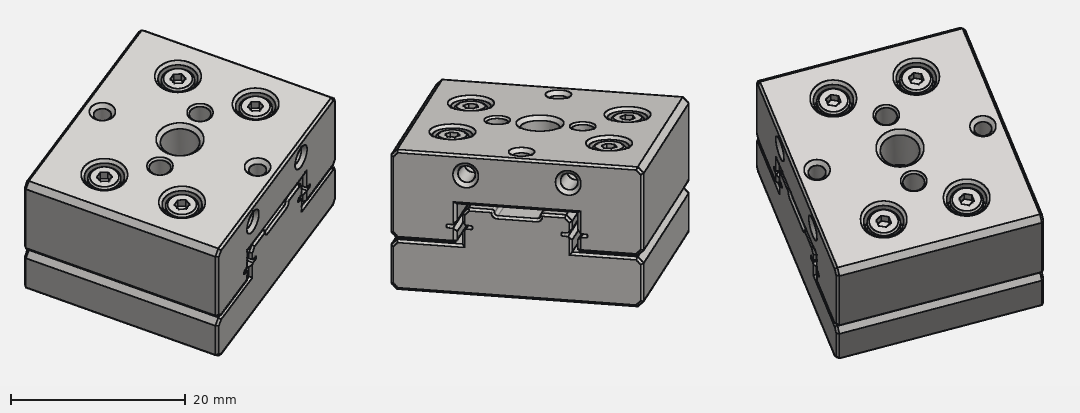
import cadquery as cq
import math

length = 25.0
width = 29.6
height = 17.0
long_edge_chamfer = 0.7
end_chamfer = 0.3

ledge_z = 6.07
carriage_bottom_z = 6.22

crown_half_width = 6.42
crown_top_z = 10.55
relief_half_width = 3.02
relief_lip_radius = 0.33
relief_floor_radius = 0.38

channel_half_width = 7.05
channel_top_z = 10.92
channel_side_flare = 0.4
leg_corner_chamfer = 0.3

guide_y = (crown_half_width + channel_half_width) / 2
guide_z = 8.23
guide_half_diagonal = 0.98
guide_slot_length = 3.08
guide_slot_height = 0.45

grid = 5.0
centre_bore_diameter = 4.5
centre_bore_rim = 5.48
dowel_diameter = 2.5
tapped_diameter = 2.0
small_rim = 3.0
tapped_x = 2 * grid

screw_y = 9.18
counterbore_diameter = 4.6
counterbore_rim = 5.33
head_diameter = 3.8
head_chamfer = 0.25
head_height = 2.0
head_recess = 0.35
socket_across_flats = 1.5
socket_depth = 1.0

end_hole_y = 6.0
end_hole_z = 14.53
end_hole_depth = 4.0
drill_tip_angle = 118.0

overcut = 0.3


def chamfered_block(bottom_z, top_z):
    """Full-length octagonal bar, broken along its long edges."""
    return (
        cq.Workplane("XY")
        .box(length, width, top_z - bottom_z, centered=(True, True, False))
        .translate((0, 0, bottom_z))
        .edges("|X")
        .chamfer(long_edge_chamfer)
    )


def countersunk_hole(diameter, rim_diameter, depth):
    """Cutter whose rim lies on z = 0 and which points down, with a 45 degree countersink."""
    sink = (rim_diameter - diameter) / 2
    outline = [
        (0, 0),
        (rim_diameter / 2, 0),
        (diameter / 2, -sink),
        (diameter / 2, -depth),
        (0, -depth),
    ]
    return cq.Workplane("XZ").polyline(outline).close().revolve(360, (0, 0, 0), (0, 1, 0))


def roller_guide(side):
    """Diamond groove with a relief slot across it, running the full length."""
    start = cq.Workplane("YZ", origin=(0, side * guide_y, guide_z))
    d = guide_half_diagonal
    cut_length = length + 2 * overcut
    diamond = start.polyline([(d, 0), (0, d), (-d, 0), (0, -d)]).close().extrude(cut_length / 2, both=True)
    slot = start.slot2D(guide_slot_length, guide_slot_height).extrude(cut_length / 2, both=True)
    return diamond.union(slot)


def cut_roller_guides(body):
    for side in (-1, 1):
        body = body.cut(roller_guide(side))
    return body


def crown_relief():
    """Shallow channel along the crown, each wall an S of two quarter arcs."""
    lip_bend = relief_lip_radius * math.sqrt(0.5)
    floor_bend = relief_floor_radius * math.sqrt(0.5)
    wall = relief_half_width - relief_lip_radius
    floor = wall - relief_floor_radius
    mid_z = crown_top_z - relief_lip_radius
    floor_z = mid_z - relief_floor_radius
    return (
        cq.Workplane("YZ")
        .moveTo(-relief_half_width, crown_top_z)
        .threePointArc((-relief_half_width + lip_bend, mid_z + lip_bend), (-wall, mid_z))
        .threePointArc((-floor - floor_bend, mid_z - floor_bend), (-floor, floor_z))
        .lineTo(floor, floor_z)
        .threePointArc((floor + floor_bend, mid_z - floor_bend), (wall, mid_z))
        .threePointArc((relief_half_width - lip_bend, mid_z + lip_bend), (relief_half_width, crown_top_z))
        .close()
        .extrude(length / 2, both=True)
    )


def make_base():
    crown = (
        cq.Workplane("XY")
        .box(length, 2 * crown_half_width, crown_top_z - long_edge_chamfer, centered=(True, True, False))
        .translate((0, 0, long_edge_chamfer))
        .edges("|X and >Z")
        .chamfer(long_edge_chamfer)
    )
    base = chamfered_block(0, ledge_z).union(crown).cut(crown_relief())
    base = base.faces("<X or >X").edges().chamfer(end_chamfer)
    return cut_roller_guides(base)


def channel_outline(plane, side_growth, top_growth):
    """Channel section with its bottom corners opening out at 45 degrees."""
    half = channel_half_width + side_growth
    top = channel_top_z + top_growth
    mouth = half + leg_corner_chamfer + overcut
    mouth_z = carriage_bottom_z - overcut
    corner_z = carriage_bottom_z + leg_corner_chamfer
    outline = [
        (-mouth, mouth_z),
        (-half, corner_z),
        (-half, top),
        (half, top),
        (half, corner_z),
        (mouth, mouth_z),
    ]
    return plane.polyline(outline).close()


def cut_channel(carriage):
    """Straight channel, flared where it meets each end face."""
    straight = channel_outline(cq.Workplane("YZ"), 0, 0).extrude(length / 2, both=True)
    carriage = carriage.cut(straight)
    inner = cq.Workplane("YZ", origin=(length / 2 - end_chamfer, 0, 0))
    flare = channel_outline(
        channel_outline(inner, 0, 0).workplane(offset=end_chamfer),
        channel_side_flare,
        end_chamfer,
    ).loft(ruled=True)
    return carriage.cut(flare).cut(flare.mirror("YZ"))


def cut_vertical_holes(carriage):
    """Centre bore, dowel holes and tapped holes, all open into the channel."""
    depth = height - channel_top_z + overcut
    centre_bore = countersunk_hole(centre_bore_diameter, centre_bore_rim, depth)
    dowel_hole = countersunk_hole(dowel_diameter, small_rim, depth)
    tapped_hole = countersunk_hole(tapped_diameter, small_rim, depth)
    carriage = carriage.cut(centre_bore.translate((0, 0, height)))
    for side in (-1, 1):
        carriage = carriage.cut(dowel_hole.translate((0, side * grid, height)))
        carriage = carriage.cut(tapped_hole.translate((side * tapped_x, 0, height)))
    return carriage


def screw_recess():
    """Counterbore with the socket cap head left standing in it; rim on z = 0."""
    bore = countersunk_hole(counterbore_diameter, counterbore_rim, head_recess + head_height)
    head = (
        cq.Workplane("XY", origin=(0, 0, -head_recess - head_height))
        .circle(head_diameter / 2)
        .extrude(head_height)
        .faces(">Z")
        .chamfer(head_chamfer)
    )
    across_corners = socket_across_flats / math.cos(math.pi / 6)
    socket = (
        cq.Workplane("XY", origin=(0, 0, -head_recess))
        .polygon(6, across_corners)
        .extrude(-socket_depth)
        .rotate((0, 0, 0), (0, 0, 1), 30)
    )
    return bore.cut(head.cut(socket))


def cut_screw_recesses(carriage):
    recess = screw_recess()
    for x in (-grid, grid):
        for y in (-screw_y, screw_y):
            carriage = carriage.cut(recess.translate((x, y, height)))
    return carriage


def end_hole():
    """Countersunk blind hole with a drill point; rim on z = 0."""
    radius = tapped_diameter / 2
    tip_length = radius / math.tan(math.radians(drill_tip_angle / 2))
    tip_base = cq.Vector(0, 0, -end_hole_depth)
    tip = cq.Workplane(cq.Solid.makeCone(radius, 0, tip_length, tip_base, cq.Vector(0, 0, -1)))
    return countersunk_hole(tapped_diameter, small_rim, end_hole_depth).union(tip)


def cut_end_holes(carriage):
    hole = end_hole()
    for side in (-1, 1):
        turned = hole.rotate((0, 0, 0), (0, 1, 0), side * 90)
        for y in (-end_hole_y, end_hole_y):
            carriage = carriage.cut(turned.translate((side * length / 2, y, end_hole_z)))
    return carriage


def make_carriage():
    carriage = chamfered_block(carriage_bottom_z, height)
    carriage = carriage.faces("<X or >X").edges().chamfer(end_chamfer)
    carriage = cut_channel(carriage)
    carriage = cut_roller_guides(carriage)
    carriage = cut_vertical_holes(carriage)
    carriage = cut_screw_recesses(carriage)
    return cut_end_holes(carriage)


base = make_base()
carriage = make_carriage()

result = cq.Compound.makeCompound([base.solids().val(), carriage.solids().val()])